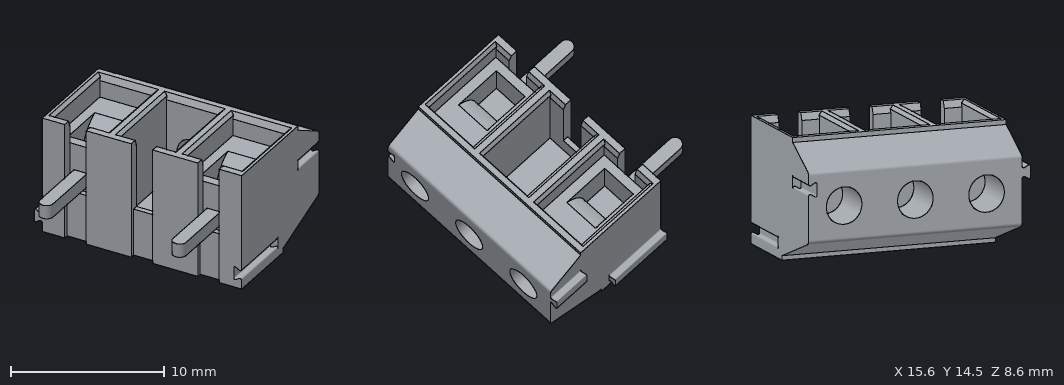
import cadquery as cq
import math


OVERALL_WIDTH = 15.6
RAIL_REACH = 0.6
WIDTH = OVERALL_WIDTH - RAIL_REACH
POLE_COUNT = 3
POLE_PITCH = WIDTH / POLE_COUNT
DEPTH = 10.2
HEIGHT = 8.6
TOP_LENGTH = 7.41
TOP_STEP = 0.33
TOP_SLOPE_END = 6.77
BOTTOM_LENGTH = 5.49
BOTTOM_STEP = 0.31
BOTTOM_SLOPE_END = 2.03
NOSE_RADIUS = 0.31

POCKET_WIDTH = 4.09
POCKET_FRONT = 0.7
POCKET_BACK = 6.79
EMPTY_POCKET_FLOOR = 2.07
RIM_SIDE_BEVEL = 0.23
RIM_END_BEVEL = 0.19
RIM_END_BEVEL_HEIGHT = 0.48

SLOT_WIDTH = 1.6
SLOT_DEPTH = 0.31
SLOT_SILL = 3.5

PIN_SIZE = 1.0
PIN_LENGTH = 4.29
PIN_HEIGHT = 4.41
WIRE_HOLE_DIAMETER = 2.5

TERMINAL_POLES = (0, 2)
TERMINAL_TOP = 6.86
WELL_WIDTH = 2.64
WELL_FRONT = 1.37
WELL_BACK = 4.87
WELL_RADIUS = 2.89
WELL_START_ANGLE = 25

RAIL_TIP_HEIGHT = 1.09
RAIL_FLANK_ANGLE = 30
RAIL_ROOT_FLANGE = 0.15
RAIL_FLANGE_HEIGHT = 1.56
RAIL_TIP_RADIUS = 0.1
RAIL_ROOT_RADIUS = 0.12
LOWER_RAIL_HEIGHT = 1.08
LOWER_RAIL_LENGTH = 4.8
UPPER_RAIL_HEIGHT = 5.63
UPPER_RAIL_START = TOP_LENGTH


def pole_center(pole):
    return (pole + 0.5) * POLE_PITCH


def box(x_range, y_range, z_range):
    size = [high - low for low, high in (x_range, y_range, z_range)]
    corner = (x_range[0], y_range[0], z_range[0])
    return cq.Workplane("XY").box(*size, centered=False).translate(corner)


def centered_range(center, width):
    return (center - width / 2, center + width / 2)


def housing():
    profile = [
        (0, 0),
        (BOTTOM_LENGTH, 0),
        (BOTTOM_LENGTH, BOTTOM_STEP),
        (DEPTH, BOTTOM_SLOPE_END),
        (DEPTH, TOP_SLOPE_END),
        (TOP_LENGTH, HEIGHT - TOP_STEP),
        (TOP_LENGTH, HEIGHT),
        (0, HEIGHT),
    ]
    block = cq.Workplane("YZ").polyline(profile).close().extrude(WIDTH)
    return block.faces(">Y").edges("|X").fillet(NOSE_RADIUS)


def flared_outline(plane, low, high, floor, bevel, bevel_height):
    """Straight-walled outline that widens by the bevel just below the top of the housing."""
    return cq.Workplane(plane).polyline([
        (low, floor),
        (high, floor),
        (high, HEIGHT - bevel_height),
        (high + bevel, HEIGHT),
        (low - bevel, HEIGHT),
        (low, HEIGHT - bevel_height),
    ]).close()


def pocket(pole):
    floor = TERMINAL_TOP if pole in TERMINAL_POLES else EMPTY_POCKET_FLOOR
    left, right = centered_range(pole_center(pole), POCKET_WIDTH)
    across = flared_outline("XZ", left, right, floor, RIM_SIDE_BEVEL, RIM_SIDE_BEVEL).extrude(-DEPTH)
    along = flared_outline("YZ", POCKET_FRONT, POCKET_BACK, floor, RIM_END_BEVEL, RIM_END_BEVEL_HEIGHT)
    return across.intersect(along.extrude(WIDTH))


def slot(pole):
    x_range = centered_range(pole_center(pole), SLOT_WIDTH)
    recess = box(x_range, (0, SLOT_DEPTH), (0, HEIGHT))
    window = box(x_range, (0, POCKET_FRONT), (SLOT_SILL, HEIGHT))
    return recess.union(window)


def wire_hole(pole):
    """Round hole from the wire side as far as the back wall of the pocket."""
    hole = cq.Workplane("XZ").center(pole_center(pole), PIN_HEIGHT).circle(WIRE_HOLE_DIAMETER / 2)
    return hole.extrude(POCKET_BACK - DEPTH).translate((0, POCKET_BACK, 0))


def terminal_well(pole):
    """Well in the terminal top whose back wall is an arc that ends upright at the floor."""
    start = math.radians(WELL_START_ANGLE)
    middle = (start + math.pi / 2) / 2
    axis_y = WELL_BACK + WELL_RADIUS * math.sin(start)
    floor = TERMINAL_TOP - WELL_RADIUS * math.cos(start)

    def arc_point(angle):
        return (axis_y - WELL_RADIUS * math.sin(angle), floor + WELL_RADIUS * math.cos(angle))

    outline = (
        cq.Workplane("YZ")
        .moveTo(WELL_FRONT, TERMINAL_TOP)
        .lineTo(WELL_BACK, TERMINAL_TOP)
        .threePointArc(arc_point(middle), arc_point(math.pi / 2))
        .lineTo(WELL_FRONT, floor)
        .close()
    )
    return outline.extrude(WELL_WIDTH).translate((pole_center(pole) - WELL_WIDTH / 2, 0, 0))


def pin(pole):
    """Square pin with a fully rounded tip, rooted in the terminal."""
    half = PIN_SIZE / 2
    tip_center = half - PIN_LENGTH
    outline = (
        cq.Workplane("XY")
        .moveTo(half, POCKET_FRONT)
        .lineTo(half, tip_center)
        .threePointArc((0, -PIN_LENGTH), (-half, tip_center))
        .lineTo(-half, POCKET_FRONT)
        .close()
    )
    return outline.extrude(PIN_SIZE).translate((pole_center(pole), 0, PIN_HEIGHT - half))


def dovetail(y_start, y_end, height):
    """Rail pointing to -X from x = 0, on a flange that lets its root be filleted."""
    tip = RAIL_TIP_HEIGHT / 2
    root = tip - RAIL_REACH * math.tan(math.radians(RAIL_FLANK_ANGLE))
    flange = RAIL_FLANGE_HEIGHT / 2
    upper_half = [(-RAIL_REACH, tip), (0, root), (0, flange), (RAIL_ROOT_FLANGE, flange)]
    lower_half = [(x, -z) for x, z in reversed(upper_half)]
    rail = cq.Workplane("XZ").polyline(upper_half + lower_half).close().extrude(y_start - y_end)
    rail = rail.faces("<X").edges("|Y").fillet(RAIL_TIP_RADIUS)
    reach = RAIL_ROOT_FLANGE / 2
    root_edges = cq.selectors.BoxSelector((-reach, 0, -tip), (reach, y_end - y_start, tip))
    rail = rail.edges("|Y").edges(root_edges).fillet(RAIL_ROOT_RADIUS)
    return rail.translate((0, y_start, height))


rails = [
    dovetail(0, LOWER_RAIL_LENGTH, LOWER_RAIL_HEIGHT),
    dovetail(UPPER_RAIL_START, DEPTH, UPPER_RAIL_HEIGHT),
]

result = housing()
for pole in range(POLE_COUNT):
    result = result.cut(pocket(pole)).cut(slot(pole)).cut(wire_hole(pole))
for pole in TERMINAL_POLES:
    result = result.cut(terminal_well(pole)).union(pin(pole))
for rail in rails:
    result = result.cut(rail.translate((WIDTH, 0, 0))).union(rail)